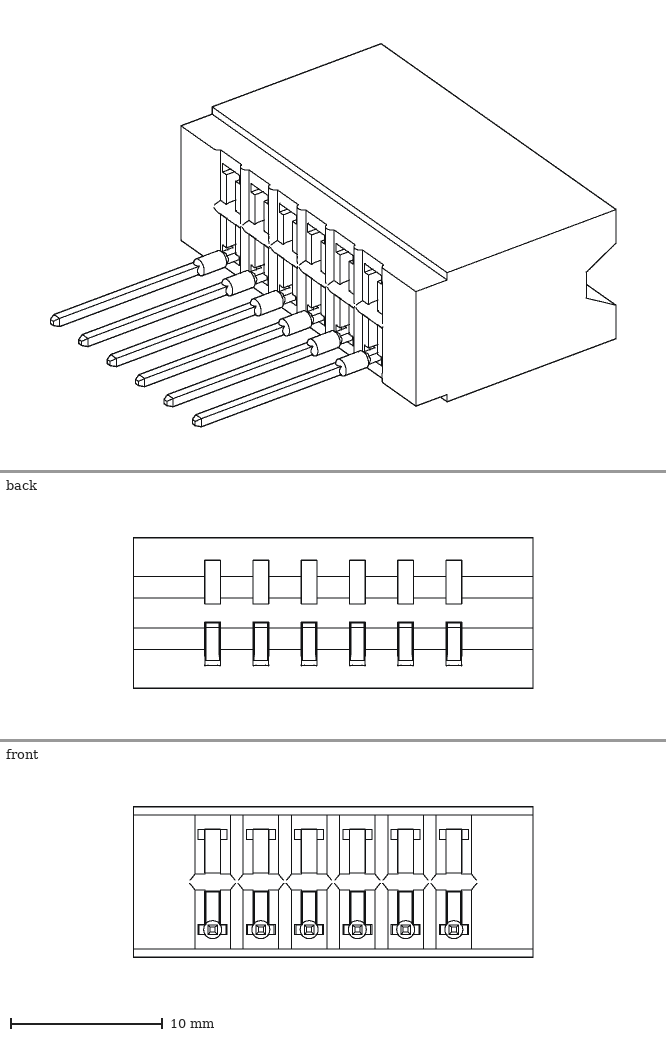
import cadquery as cq
import math


PIN_COUNT = 6
PITCH = 3.175
PIN_Z = -3.135
ROW_HALF = PIN_COUNT * PITCH / 2
STATION_X = [(i - (PIN_COUNT - 1) / 2) * PITCH for i in range(PIN_COUNT)]
BOUNDARY_X = [i * PITCH - ROW_HALF for i in range(PIN_COUNT + 1)]

WIDTH = 26.29
HEIGHT = 9.91
LENGTH = 16.30
STEP_HEIGHT = 0.56
STEP_LENGTH = 2.54
NOTCH_DEPTH = 2.41
NOTCH_MOUTH_HALF = 2.39
NOTCH_ANGLE = 30

RECESS_DEPTH = 0.30
RIB_RADIUS = 0.44
SEPTUM_RADIUS = 0.60

CAVITY_WIDTH = 1.02
CAVITY_OUTER_Z = 3.46
POCKET_WIDTH = 1.90
POCKET_HEIGHT = 0.66
POCKET_DEPTH = 0.80
POCKET_FLOOR_Y = RECESS_DEPTH + POCKET_DEPTH

PIN_SIZE = 0.635
PIN_END_Y = -14.29
TIP_LENGTH = 0.40
TIP_SIZE = 0.33
BARREL_SIZE = 1.17
BARREL_FLAT = 0.06
BARREL_FRONT_Y = -2.66
BARREL_BACK_Y = -0.15
BARREL_TAPER_LENGTH = 0.35
SHOULDER_WIDTH = 1.76
SHOULDER_LENGTH = 0.40
STRIP_WIDTH = 0.90
STRIP_THICKNESS = 0.30
STRIP_ANGLE = 45
STRIP_TOP_Z = -0.66
RISE_START_Z = -2.26
RISE_END_Z = -0.94
STRIP_LEAD = 0.5


def box(x_size, y_range, z_range, x_centre=0.0):
    """Block centred on x_centre that spans the given Y and Z ranges."""
    y_start, y_end = y_range
    z_start, z_end = z_range
    block = cq.Workplane("XY").box(x_size, y_end - y_start, z_end - z_start, centered=(True, False, False))
    return block.translate((x_centre, y_start, z_start))


def housing_block():
    """Outer profile with stepped terminal end and card lead-in notch, extruded along X."""
    half = HEIGHT / 2
    low_half = half - STEP_HEIGHT
    notch_floor_half = NOTCH_MOUTH_HALF - NOTCH_DEPTH * math.tan(math.radians(NOTCH_ANGLE))
    upper = [
        (0, low_half),
        (STEP_LENGTH, low_half),
        (STEP_LENGTH, half),
        (LENGTH, half),
        (LENGTH, NOTCH_MOUTH_HALF),
        (LENGTH - NOTCH_DEPTH, notch_floor_half),
    ]
    lower = [(y, -z) for y, z in reversed(upper)]
    return cq.Workplane("YZ").polyline(upper + lower).close().extrude(WIDTH / 2, both=True)


def septum():
    """Wall between the two cavity rows, with a full-round nose on the terminal face."""
    nose = cq.Workplane("YZ").center(SEPTUM_RADIUS, 0).circle(SEPTUM_RADIUS).extrude(WIDTH / 2, both=True)
    return nose.union(box(WIDTH, (SEPTUM_RADIUS, LENGTH), (-SEPTUM_RADIUS, SEPTUM_RADIUS)))


def terminal_recess():
    """Shallow recess over the whole row, leaving the ribs and the septum nose standing."""
    recess = box(2 * ROW_HALF, (0, RECESS_DEPTH), (-HEIGHT / 2, HEIGHT / 2))
    for x in BOUNDARY_X:
        rib = cq.Workplane("XY").center(x, RIB_RADIUS).circle(RIB_RADIUS).extrude(HEIGHT / 2, both=True)
        recess = recess.cut(rib)
    return recess.cut(septum())


def cavity(x, side):
    """Through cavity with its mouth pocket; side is +1 for the upper row and -1 for the lower row."""
    channel = box(CAVITY_WIDTH, (RECESS_DEPTH, LENGTH), (0, CAVITY_OUTER_Z), x)
    pocket_z = (CAVITY_OUTER_Z - POCKET_HEIGHT, CAVITY_OUTER_Z)
    pocket = box(POCKET_WIDTH, (RECESS_DEPTH, POCKET_FLOOR_Y), pocket_z, x)
    upper = channel.cut(septum()).union(pocket)
    return upper if side > 0 else upper.mirror("XY")


def make_housing():
    body = housing_block().cut(terminal_recess())
    for x in STATION_X:
        for side in (1, -1):
            body = body.cut(cavity(x, side))
    return body


def pin_shaft():
    """Square shaft with a tapered tip, reaching back to the pocket floor."""
    taper_end_y = PIN_END_Y + TIP_LENGTH
    half = PIN_SIZE / 2
    shaft = box(PIN_SIZE, (taper_end_y, POCKET_FLOOR_Y), (-half, half))
    tip = (
        cq.Workplane("XZ", origin=(0, taper_end_y, 0))
        .rect(PIN_SIZE, PIN_SIZE)
        .workplane(offset=TIP_LENGTH)
        .rect(TIP_SIZE, TIP_SIZE)
        .loft()
    )
    return shaft.union(tip)


def pin_barrel():
    """Round-cornered barrel tapering to the shaft size at both ends."""
    half = BARREL_SIZE / 2
    return (
        box(BARREL_SIZE, (BARREL_FRONT_Y, BARREL_BACK_Y), (-half, half))
        .edges("|Y")
        .fillet((BARREL_SIZE - BARREL_FLAT) / 2)
        .faces("<Y or >Y")
        .chamfer((BARREL_SIZE - PIN_SIZE) / 2, BARREL_TAPER_LENGTH)
    )


def contact_strip():
    """Strip that leaves the shaft level with its top, bends up, rises at a slope and levels out."""
    slope = math.radians(STRIP_ANGLE)
    bend_rise = 1 - math.cos(slope)
    base_z = PIN_SIZE / 2
    lower_radius = (RISE_START_Z - PIN_Z - base_z) / bend_rise
    upper_radius = (STRIP_TOP_Z - RISE_END_Z) / bend_rise

    lower_y = POCKET_FLOOR_Y + STRIP_LEAD
    lower_z = base_z + lower_radius
    rise_run = (RISE_END_Z - RISE_START_Z) / math.tan(slope)
    upper_y = lower_y + (lower_radius + upper_radius) * math.sin(slope) + rise_run
    end_y = upper_y + STRIP_LEAD
    end_z = STRIP_TOP_Z - PIN_Z
    upper_z = end_z - upper_radius

    def lower_bend(angle, depth):
        radius = lower_radius + depth
        return (lower_y + radius * math.sin(angle), lower_z - radius * math.cos(angle))

    def upper_bend(angle, depth):
        radius = upper_radius - depth
        return (upper_y - radius * math.sin(angle), upper_z + radius * math.cos(angle))

    thick = STRIP_THICKNESS
    return (
        cq.Workplane("YZ")
        .moveTo(POCKET_FLOOR_Y, base_z)
        .lineTo(*lower_bend(0, 0))
        .threePointArc(lower_bend(slope / 2, 0), lower_bend(slope, 0))
        .lineTo(*upper_bend(slope, 0))
        .threePointArc(upper_bend(slope / 2, 0), upper_bend(0, 0))
        .lineTo(end_y, end_z)
        .lineTo(end_y, end_z - thick)
        .lineTo(*upper_bend(0, thick))
        .threePointArc(upper_bend(slope / 2, thick), upper_bend(slope, thick))
        .lineTo(*lower_bend(slope, thick))
        .threePointArc(lower_bend(slope / 2, thick), lower_bend(0, thick))
        .lineTo(POCKET_FLOOR_Y, base_z - thick)
        .close()
        .extrude(STRIP_WIDTH / 2, both=True)
    )


def make_contact(x):
    """One contact pin; its shoulder seats on the floor of the mouth pocket."""
    half = PIN_SIZE / 2
    shoulder = box(SHOULDER_WIDTH, (POCKET_FLOOR_Y - SHOULDER_LENGTH, POCKET_FLOOR_Y), (-half, half))
    contact = pin_shaft().union(pin_barrel()).union(shoulder).union(contact_strip())
    return contact.translate((x, 0, PIN_Z))


housing = make_housing()
contacts = [make_contact(x) for x in STATION_X]

result = cq.Compound.makeCompound([housing.val(), *[contact.val() for contact in contacts]])